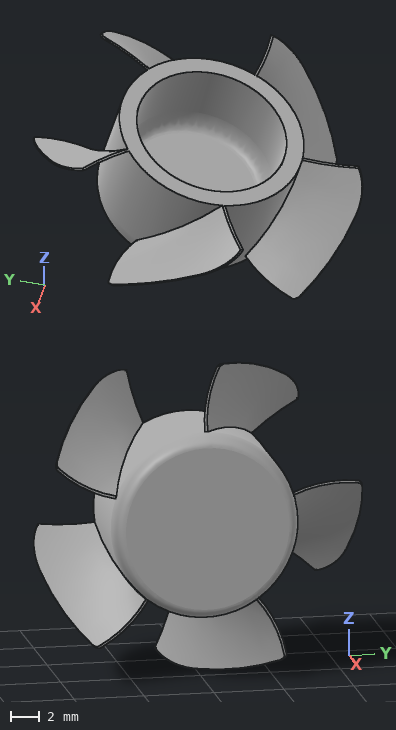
import cadquery as cq
import math

hub_radius = 6.67
bore_radius = 10.83 / 2
hub_length = 7.86
bore_depth = 5.84
crown_length = 1.44
crown_drop = 0.82

blade_count = 5
blade_length = hub_length - crown_length
blade_thickness = 0.2
tip_radius = 11.57
root_radius = 6.2
mid_radius = 9.15
cut_radius = 12.0
section_count = 7

blade_angles = {
    root_radius: (46.85, 87.85, -1.0),
    mid_radius: (44.05, 88.2, 0.3),
    cut_radius: (40.4, 83.6, 1.0),
}

front_round_length = 2.0
front_round_drop = 0.9
rear_round = 0.25


def make_crowned_plug(radius, length):
    """Solid cylinder from X = 0, with its far edge rounded over elliptically."""
    profile = (
        cq.Workplane("XY")
        .lineTo(length, 0)
        .lineTo(length, radius - crown_drop)
        .ellipseArc(crown_length, crown_drop, 0, 90)
        .lineTo(0, radius)
        .close()
    )
    return profile.revolve(360, (0, 0, 0), (1, 0, 0))


def make_hub():
    outside = make_crowned_plug(hub_radius, hub_length)
    bore = make_crowned_plug(bore_radius, bore_depth)
    return outside.cut(bore)


def blade_point(radius, fraction, side):
    """YZ point on one face of the blade; side is -1 or +1, fraction runs along X."""
    front_angle, rear_angle, bow = blade_angles[radius]
    even_twist = front_angle + fraction * (rear_angle - front_angle)
    bow_here = 4 * bow * fraction * (1 - fraction)
    angle = math.radians(even_twist + bow_here) + side * blade_thickness / (2 * radius)
    return (radius * math.cos(angle), radius * math.sin(angle))


def blade_section(fraction):
    section = (
        cq.Workplane("YZ", origin=(fraction * blade_length, 0, 0))
        .moveTo(*blade_point(root_radius, fraction, -1))
        .threePointArc(blade_point(mid_radius, fraction, -1), blade_point(cut_radius, fraction, -1))
        .lineTo(*blade_point(cut_radius, fraction, 1))
        .threePointArc(blade_point(mid_radius, fraction, 1), blade_point(root_radius, fraction, 1))
        .close()
    )
    return section.val()


def make_tip_envelope():
    profile = (
        cq.Workplane("XY")
        .lineTo(blade_length, 0)
        .lineTo(blade_length, tip_radius - rear_round)
        .radiusArc((blade_length - rear_round, tip_radius), -rear_round)
        .lineTo(front_round_length, tip_radius)
        .tangentArcPoint((0, tip_radius - front_round_drop), relative=False)
        .close()
    )
    return profile.revolve(360, (0, 0, 0), (1, 0, 0))


def make_blade():
    sections = [blade_section(i / (section_count - 1)) for i in range(section_count)]
    overlong_blade = cq.Workplane(cq.Solid.makeLoft(sections))
    return overlong_blade.intersect(make_tip_envelope())


result = make_hub()
blade = make_blade()
for i in range(blade_count):
    result = result.union(blade.rotate((0, 0, 0), (1, 0, 0), i * 360 / blade_count))